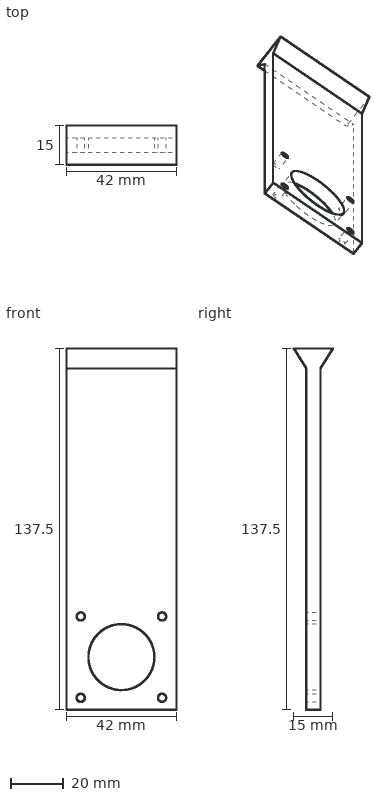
import cadquery as cq

width = 42.0
height = 137.5
plate_thickness = 5.5

dovetail_width = 15.0
dovetail_height = 7.5

bore_diameter = 25.0
bore_center_height = 20.1
screw_diameter = 3.0
screw_spacing = 31.0


def make_body():
    """Extrude the plate and its flared top as one YZ profile."""
    half_plate = plate_thickness / 2
    half_dovetail = dovetail_width / 2
    flare_start = height - dovetail_height
    profile = [
        (-half_plate, 0),
        (half_plate, 0),
        (half_plate, flare_start),
        (half_dovetail, height),
        (-half_dovetail, height),
        (-half_plate, flare_start),
    ]
    return cq.Workplane("YZ", origin=(-width / 2, 0, 0)).polyline(profile).close().extrude(width)


def make_hole_cutters():
    """Central bore and four screw holes on a square, all along Y."""
    face = cq.Workplane("XZ", origin=(0, plate_thickness / 2, bore_center_height))
    bore = face.circle(bore_diameter / 2).extrude(plate_thickness)
    screws = (
        face.rect(screw_spacing, screw_spacing, forConstruction=True)
        .vertices()
        .circle(screw_diameter / 2)
        .extrude(plate_thickness)
    )
    return bore.union(screws)


result = make_body().cut(make_hole_cutters())